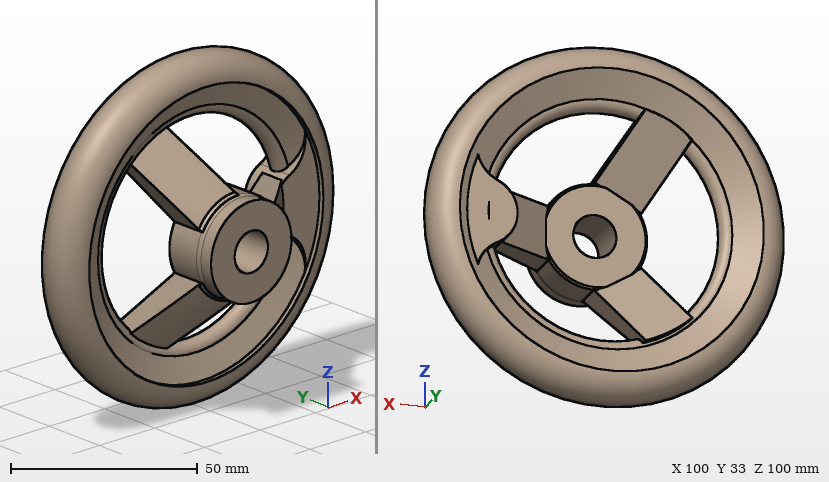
import cadquery as cq
import math

rim_radius = 50.0
rim_width = 15.0
rim_round = rim_width / 2
rim_crest_radius = rim_radius - rim_round
rim_step = 1.6
rim_lip = 0.3
rim_bore_radius = 32.0
bead_radius = 3.0
bead_top = 4.5

hub_front = -18.0
hub_back = -1.0
hub_collar_radius = 14.5
hub_radius = 14.8
collar_length = 4.0
hub_blend = 1.5
hub_chamfer = 0.6
bore_diameter = 12.0

spoke_count = 3
spoke_width = 15.0
spoke_front_start = (hub_radius, -12.2)
spoke_toe = 0.6
spoke_slope = 1.05
spoke_back_start = (13.2, -1.3)
spoke_back_slope = 1.4
spoke_end_radius = rim_bore_radius + 2.0

pad_radius = 9.6
pad_center_x = 35.5
pad_front = rim_step
pad_back = 13.5
web_round = 10.0


def build_rim():
    """Round outer section with a sloping inner web ending in a rounded bead."""
    bead_center_radius = rim_bore_radius + bead_radius
    bead_bottom = bead_top + 2 * bead_radius
    profile = (
        cq.Workplane("XY")
        .moveTo(rim_crest_radius, 0)
        .threePointArc((rim_radius, rim_round), (rim_crest_radius, rim_width))
        .lineTo(bead_center_radius, bead_bottom)
        .threePointArc((rim_bore_radius, bead_top + bead_radius), (bead_center_radius, bead_top))
        .lineTo(rim_crest_radius - rim_lip, rim_step)
        .lineTo(rim_crest_radius - rim_lip, 0)
        .close()
    )
    return profile.revolve(360, (0, 0, 0), (0, 1, 0))


def build_hub():
    """Solid hub with a slightly narrower front collar."""
    collar_back = hub_front + collar_length
    profile = cq.Workplane("XY").polyline([
        (0, hub_front),
        (hub_collar_radius, hub_front),
        (hub_collar_radius, collar_back),
        (hub_radius, collar_back + hub_blend),
        (hub_radius, hub_back - hub_chamfer),
        (hub_radius - hub_chamfer, hub_back),
        (0, hub_back),
    ]).close()
    return profile.revolve(360, (0, 0, 0), (0, 1, 0))


def build_spoke():
    """Slanted arm along +X from the hub into the rim web, with a conical front."""
    front_radius, front_y = spoke_front_start
    back_radius, back_y = spoke_back_start
    toe_y = front_y - spoke_toe
    front_end_y = front_y + (spoke_end_radius - front_radius) / spoke_slope
    back_end_y = back_y + (spoke_end_radius - back_radius) / spoke_back_slope
    cone = (
        cq.Workplane("XY")
        .polyline([
            (0, toe_y),
            (front_radius, toe_y),
            (front_radius + spoke_toe, front_y + spoke_toe / spoke_slope),
            (spoke_end_radius, front_end_y),
            (spoke_end_radius, back_end_y),
            (0, back_end_y),
        ])
        .close()
        .revolve(360, (0, 0, 0), (0, 1, 0))
    )
    arm = (
        cq.Workplane("XY")
        .polyline([
            (0, toe_y),
            (spoke_end_radius, toe_y),
            (spoke_end_radius, back_end_y),
            (back_radius, back_y),
            (0, back_y),
        ])
        .close()
        .extrude(spoke_width / 2, both=True)
    )
    return arm.intersect(cone)


def build_pad():
    """Round boss blended into the rim by a concave arc on each side."""
    blend_reach = rim_crest_radius - web_round
    blend_gap = pad_radius + web_round
    blend_x = (blend_reach**2 - blend_gap**2 + pad_center_x**2) / (2 * pad_center_x)
    blend_z = math.sqrt(blend_reach**2 - blend_x**2)
    pad_share = pad_radius / blend_gap
    boss_x = pad_center_x + (blend_x - pad_center_x) * pad_share
    boss_z = blend_z * pad_share
    rim_x = blend_x * rim_crest_radius / blend_reach
    rim_z = blend_z * rim_crest_radius / blend_reach
    return (
        cq.Workplane("XZ", origin=(0, pad_front, 0))
        .moveTo(boss_x, -boss_z)
        .threePointArc((pad_center_x - pad_radius, 0), (boss_x, boss_z))
        .threePointArc((blend_x + web_round, blend_z), (rim_x, rim_z))
        .threePointArc((rim_crest_radius, 0), (rim_x, -rim_z))
        .threePointArc((blend_x + web_round, -blend_z), (boss_x, -boss_z))
        .close()
        .extrude(pad_front - pad_back)
    )


wheel = build_rim().union(build_hub()).union(build_pad())
for index in range(spoke_count):
    angle = index * 360 / spoke_count
    wheel = wheel.union(build_spoke().rotate((0, 0, 0), (0, 1, 0), angle))

bore = cq.Workplane("XZ", origin=(0, hub_front, 0)).circle(bore_diameter / 2).extrude(hub_front - hub_back)
result = wheel.cut(bore)